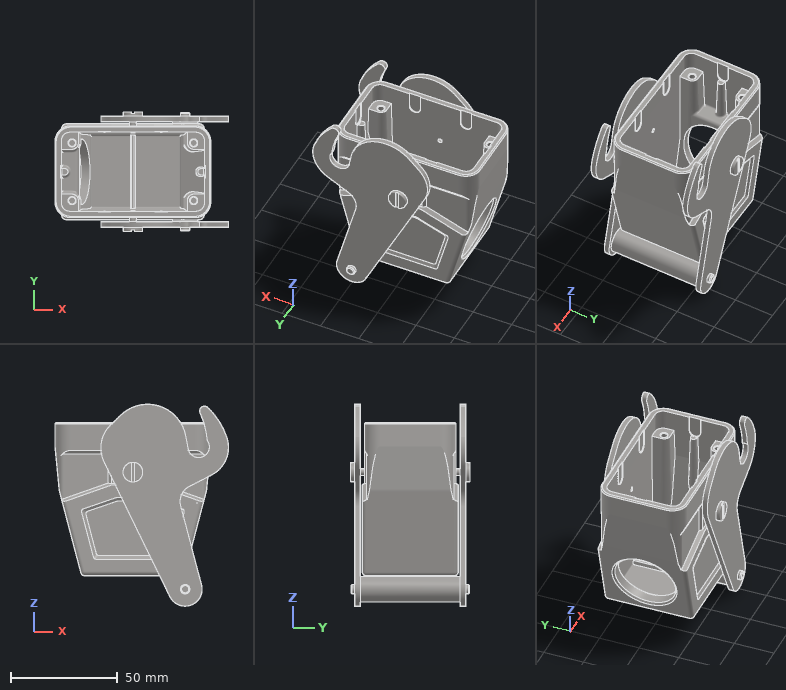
import math

import cadquery as cq


HOOD_HEIGHT = 71.8
COLLAR_LENGTH = 73.0
COLLAR_WIDTH = 43.0
COLLAR_CORNER_RADIUS = 7.5
RIM_CHAMFER = 0.6
COLLAR_BOTTOM_Z = 60.5
WAIST_Z = 40.0
WAIST_HALF_LENGTH = 34.52
WAIST_BLEND_RADIUS = 6.5
UPPER_BODY_START_Z = 25.0
BASE_HALF_LENGTH = 24.0
BASE_WIDTH = 45.0
BASE_EDGE_RADIUS = 2.0
END_LEAN = math.atan2(WAIST_HALF_LENGTH - BASE_HALF_LENGTH, WAIST_Z)

ROOF_APEX_Z = 44.0
ROOF_FLAT_HALF = 10.1
ROOF_SLOPE = 0.352
ROOF_BEVEL_HEIGHT = 1.4

SIDE_RECESS_DEPTH = 1.1
SIDE_RECESS_BEVEL = 1.7
SIDE_RECESS_TOP_Z = 58.8
BAND_HALF_WIDTH = 10.0
SIDE_RECESS_END_RADIUS = 2.2

PANEL_DEPTH = 1.0
PANEL_BEVEL = 1.7
PANEL_BOTTOM_Z = 7.8
PANEL_BOTTOM_HALF = 18.2
PANEL_SHOULDER_Z = 31.0
PANEL_TOP_Z = 36.8
PANEL_TOP_HALF = 7.4
PANEL_CORNER_RADIUS = 2.8

ENTRY_DIAMETER = 30.6
ENTRY_CHAMFER = 1.0
CHAMFER_ANGLE = 45.0
ENTRY_Z = 19.7
ENTRY_DEPTH = 9.0

DRAFT = 2.0
WALL = 3.0
CAVITY_HALF_LENGTH = COLLAR_LENGTH / 2 - WALL
CAVITY_HALF_WIDTH = COLLAR_WIDTH / 2 - WALL
CAVITY_CORNER_RADIUS = 4.0
SEAT_Z = HOOD_HEIGHT - 10.0
FLOOR_Z = 5.6
FLOOR_HALF_WIDTH = 17.2
FLOOR_LEFT_X = -19.9
FLOOR_RIGHT_X = 22.5
FLOOR_FILLET = 0.8
SHELF_Z = 40.0
SHELF_EDGE_X = -24.9
SHELF_EDGE_RADIUS = 2.0
SHELF_FILLET = 1.0
FLOOR_RIB_BASE = 2.4
FLOOR_RIB_CREST = 1.2
FLOOR_RIB_HEIGHT = 1.9

POST_INNER_X = 25.5
POST_INNER_Y = 10.5
POST_CORNER_RADIUS = 3.0
POST_HOLE_X = 28.45
POST_HOLE_Y = 13.5
POST_HOLE_DIAMETER = 3.2
POST_HOLE_DEPTH = 10.0
POST_HOLE_CHAMFER = 0.3

KEY_RADIUS = 1.5
KEY_X = 31.9

SLOT_WIDTH = 5.7
SLOT_DEPTH = 0.4
SLOT_BOTTOM_Z = 61.2
SLOT_X = 13.3

PLATE_INNER_Y = 23.4
PLATE_OUTER_Y = 26.0
PIVOT_Z = 48.6
SCREW_HEAD_DIAMETER = 9.2
SCREW_TIP_Y = 28.0
SCREW_SLOT_WIDTH = 1.5
SCREW_SLOT_DEPTH = 0.7
SCREW_HEAD_FILLET = 0.4
SCREW_SHANK_DIAMETER = 3.2
SCREW_SHANK_END_Y = 20.0
SCREW_PILOT_DIAMETER = 2.0
ROLLER_DIAMETER = 12.0
RIVET_DIAMETER = 4.4
RIVET_TIP_Y = 27.8
RIVET_CHAMFER = 0.5

LEVER_END = (24.45, -6.2, 8.0)
LEVER_SHOULDER = (0.0, 59.9, 15.0)
LEVER_HEAD = (6.9, 62.3, 18.1)
HOOK_THROAT = (30.8, 60.4, -5.0)
HOOK_BACK = (30.2, 60.2, 14.6)
LEVER_ELBOW = (30.1, 34.8, -8.0)
HOOK_TIP = (33.5, 77.2, 2.3)
HOOK_OUTER_RADIUS = 35.0
HOOK_INNER_RADIUS = 40.0
THROAT_END_ANGLE = math.radians(36)


def prism_y(points, half_width):
    """Extrude an XZ outline evenly to both sides of y = 0."""
    return cq.Workplane("XZ").polyline(points).close().extrude(half_width, both=True)


def rod_y(diameter, y_start, y_end, x, z):
    """Round bar along Y on the -Y side, from |y| = y_start out to |y| = y_end."""
    return cq.Workplane("XZ", origin=(x, -y_start, z)).circle(diameter / 2).extrude(y_end - y_start)


def both_sides(body):
    """A -Y side feature joined with its mirror image on the +Y side."""
    return body.union(body.mirror("XZ"))


def collar_block(length, width, radius, bottom, top):
    block = cq.Workplane("XY", origin=(0, 0, bottom)).rect(length, width).extrude(top - bottom)
    return block.edges("|Z").fillet(radius)


def end_lean_x(z):
    """Half length of the base at height z."""
    return BASE_HALF_LENGTH + z * math.tan(END_LEAN)


def make_upper_body():
    half = COLLAR_LENGTH / 2
    right = [
        (BASE_HALF_LENGTH, 0),
        (WAIST_HALF_LENGTH, WAIST_Z),
        (half, COLLAR_BOTTOM_Z),
        (half, HOOD_HEIGHT),
    ]
    left = [(-x, z) for x, z in reversed(right)]
    block = collar_block(
        COLLAR_LENGTH, COLLAR_WIDTH, COLLAR_CORNER_RADIUS, UPPER_BODY_START_Z, HOOD_HEIGHT
    )
    block = block.faces(">Z").edges().chamfer(RIM_CHAMFER)
    ends = prism_y(right + left, COLLAR_WIDTH)
    for side in (-1, 1):
        waist = cq.selectors.NearestToPointSelector((side * WAIST_HALF_LENGTH, 0, WAIST_Z))
        ends = ends.edges("|Y").edges(waist).fillet(WAIST_BLEND_RADIUS)
    body = block.intersect(ends).cut(make_side_recesses())
    return round_recess_ends(body)


def round_recess_ends(body):
    """Soften the upright edges where the recess floors run out into the collar's round corners."""
    floor_y = COLLAR_WIDTH / 2 - SIDE_RECESS_DEPTH
    rise = COLLAR_CORNER_RADIUS - SIDE_RECESS_DEPTH
    edge_x = COLLAR_LENGTH / 2 - COLLAR_CORNER_RADIUS + math.sqrt(COLLAR_CORNER_RADIUS**2 - rise**2)
    for side_x in (-1, 1):
        for side_y in (-1, 1):
            middle = (side_x * edge_x, side_y * floor_y, WAIST_Z)
            edge = cq.selectors.NearestToPointSelector(middle)
            body = body.edges("|Z").edges(edge).fillet(SIDE_RECESS_END_RADIUS)
    return body


def make_side_recesses():
    outside = COLLAR_LENGTH
    outline = [
        (BAND_HALF_WIDTH, 0),
        (outside, 0),
        (outside, SIDE_RECESS_TOP_Z),
        (BAND_HALF_WIDTH, SIDE_RECESS_TOP_Z),
    ]
    bevel_angle = math.degrees(math.atan2(SIDE_RECESS_BEVEL, SIDE_RECESS_DEPTH))
    face = cq.Workplane("XZ", origin=(0, -COLLAR_WIDTH / 2, 0))
    recess = face.polyline(outline).close().extrude(-SIDE_RECESS_DEPTH, taper=bevel_angle)
    return both_sides(recess.union(recess.mirror("YZ")))


def make_base():
    half_top = end_lean_x(ROOF_APEX_Z)
    outline = [
        (-BASE_HALF_LENGTH, 0),
        (BASE_HALF_LENGTH, 0),
        (half_top, ROOF_APEX_Z),
        (-half_top, ROOF_APEX_Z),
    ]
    block = prism_y(outline, BASE_WIDTH / 2)
    return block.edges("not(>Z)").fillet(BASE_EDGE_RADIUS).intersect(make_roof())


def make_roof():
    """Room below the sloping roof, whose edge is bevelled where it stands proud of the recesses."""
    reach = COLLAR_LENGTH
    eaves_z = ROOF_APEX_Z - ROOF_SLOPE * (reach - ROOF_FLAT_HALF)
    inner_half_width = COLLAR_WIDTH / 2 - SIDE_RECESS_DEPTH
    bevel_depth = BASE_WIDTH / 2 - inner_half_width
    outline = [
        (-reach, -reach),
        (reach, -reach),
        (reach, eaves_z),
        (ROOF_FLAT_HALF, ROOF_APEX_Z),
        (-ROOF_FLAT_HALF, ROOF_APEX_Z),
        (-reach, eaves_z),
    ]
    roof = prism_y(outline, inner_half_width)
    bevel_angle = math.degrees(math.atan2(ROOF_BEVEL_HEIGHT, bevel_depth))
    face = cq.Workplane("XZ", origin=(0, -inner_half_width, 0))
    edge = face.polyline(outline).close().extrude(bevel_depth, taper=bevel_angle)
    return roof.union(both_sides(edge))


def make_panels():
    shoulder_half = PANEL_BOTTOM_HALF + (PANEL_SHOULDER_Z - PANEL_BOTTOM_Z) * math.tan(END_LEAN)
    outline = [
        (-PANEL_BOTTOM_HALF, PANEL_BOTTOM_Z),
        (PANEL_BOTTOM_HALF, PANEL_BOTTOM_Z),
        (shoulder_half, PANEL_SHOULDER_Z),
        (PANEL_TOP_HALF, PANEL_TOP_Z),
        (-PANEL_TOP_HALF, PANEL_TOP_Z),
        (-shoulder_half, PANEL_SHOULDER_Z),
    ]
    bevel_angle = math.degrees(math.atan2(PANEL_BEVEL, PANEL_DEPTH))
    face = cq.Workplane("XZ", origin=(0, -BASE_WIDTH / 2, 0))
    panel = face.polyline(outline).close().extrude(-PANEL_DEPTH, taper=bevel_angle)
    return both_sides(panel.edges("not(#Y)").fillet(PANEL_CORNER_RADIUS))


def make_cable_entry():
    inward = cq.Vector(math.cos(END_LEAN), 0, math.sin(END_LEAN))
    mouth = cq.Plane(origin=(-end_lean_x(ENTRY_Z), 0, ENTRY_Z), xDir=(0, 1, 0), normal=inward)
    hole = cq.Workplane(mouth).circle(ENTRY_DIAMETER / 2).extrude(ENTRY_DEPTH)
    rim = cq.Workplane(mouth).circle(ENTRY_DIAMETER / 2 + ENTRY_CHAMFER)
    rim = rim.extrude(ENTRY_CHAMFER, taper=CHAMFER_ANGLE)
    return hole.union(rim)


def make_cavity():
    lean = math.tan(END_LEAN)
    right_knee_z = FLOOR_Z + (CAVITY_HALF_LENGTH - FLOOR_RIGHT_X) / lean
    left_knee_z = FLOOR_Z + (FLOOR_LEFT_X - SHELF_EDGE_X) / lean
    lengthwise = [
        (FLOOR_LEFT_X, FLOOR_Z),
        (FLOOR_RIGHT_X, FLOOR_Z),
        (CAVITY_HALF_LENGTH, right_knee_z),
        (CAVITY_HALF_LENGTH, SEAT_Z),
        (-CAVITY_HALF_LENGTH, SEAT_Z),
        (-CAVITY_HALF_LENGTH, SHELF_Z),
        (SHELF_EDGE_X, SHELF_Z),
        (SHELF_EDGE_X, left_knee_z),
    ]
    crosswise = [
        (-FLOOR_HALF_WIDTH, FLOOR_Z),
        (FLOOR_HALF_WIDTH, FLOOR_Z),
        (CAVITY_HALF_WIDTH, SEAT_Z),
        (-CAVITY_HALF_WIDTH, SEAT_Z),
    ]
    lower = prism_y(lengthwise, CAVITY_HALF_WIDTH)
    shelf_edge = cq.selectors.NearestToPointSelector((SHELF_EDGE_X, 0, SHELF_Z))
    lower = lower.edges(shelf_edge).fillet(SHELF_EDGE_RADIUS)
    trough = cq.Workplane("YZ").polyline(crosswise).close().extrude(COLLAR_LENGTH, both=True)
    lower = lower.intersect(trough).faces("<Z").edges().fillet(FLOOR_FILLET)

    mouth = collar_block(
        2 * CAVITY_HALF_LENGTH, 2 * CAVITY_HALF_WIDTH, CAVITY_CORNER_RADIUS, SEAT_Z, HOOD_HEIGHT
    )
    lower = lower.cut(make_posts()).cut(make_keys()).cut(make_floor_rib())
    shelf_walls = cq.selectors.BoxSelector(
        (-COLLAR_LENGTH, -COLLAR_WIDTH, SHELF_Z - SHELF_FILLET / 2),
        (SHELF_EDGE_X - SHELF_EDGE_RADIUS - SHELF_FILLET / 2, COLLAR_WIDTH, SHELF_Z + SHELF_FILLET / 2),
    )
    lower = lower.edges(shelf_walls).fillet(SHELF_FILLET)
    return mouth.union(lower).union(make_wall_slots())


def make_posts():
    """Four drafted corner posts, each rounded towards the middle of the hood."""
    outer_x = COLLAR_LENGTH / 2
    outer_y = COLLAR_WIDTH / 2
    radius = POST_CORNER_RADIUS
    inset = radius * (1 - math.sqrt(0.5))
    post = (
        cq.Workplane("XY", origin=(0, 0, SEAT_Z))
        .moveTo(outer_x, outer_y)
        .lineTo(POST_INNER_X, outer_y)
        .lineTo(POST_INNER_X, POST_INNER_Y + radius)
        .threePointArc(
            (POST_INNER_X + inset, POST_INNER_Y + inset), (POST_INNER_X + radius, POST_INNER_Y)
        )
        .lineTo(outer_x, POST_INNER_Y)
        .close()
        .extrude(-SEAT_Z, taper=-DRAFT)
    )
    pair = post.union(post.mirror("XZ"))
    return pair.union(pair.mirror("YZ"))


def make_post_holes():
    radius = POST_HOLE_DIAMETER / 2
    seat = cq.Workplane("XY", origin=(0, 0, SEAT_Z))
    seat = seat.rect(2 * POST_HOLE_X, 2 * POST_HOLE_Y, forConstruction=True).vertices()
    holes = seat.circle(radius).extrude(-POST_HOLE_DEPTH)
    return holes.faces(">Z").edges().each(
        lambda edge: cq.Solid.makeCone(
            radius,
            radius + POST_HOLE_CHAMFER,
            POST_HOLE_CHAMFER,
            pnt=edge.arcCenter() - cq.Vector(0, 0, POST_HOLE_CHAMFER),
        ),
        combine=True,
    )


def make_keys():
    """Drafted half-round key ribs on the inside of both end walls."""
    outer_x = COLLAR_LENGTH / 2
    key = (
        cq.Workplane("XY", origin=(0, 0, SEAT_Z))
        .moveTo(outer_x, KEY_RADIUS)
        .lineTo(KEY_X, KEY_RADIUS)
        .threePointArc((KEY_X - KEY_RADIUS, 0), (KEY_X, -KEY_RADIUS))
        .lineTo(outer_x, -KEY_RADIUS)
        .close()
        .extrude(-SEAT_Z, taper=-DRAFT)
    )
    return key.union(key.mirror("YZ"))


def make_floor_rib():
    crest_z = FLOOR_Z + FLOOR_RIB_HEIGHT
    section = [
        (-FLOOR_RIB_BASE / 2, FLOOR_Z),
        (FLOOR_RIB_BASE / 2, FLOOR_Z),
        (FLOOR_RIB_CREST / 2, crest_z),
        (-FLOOR_RIB_CREST / 2, crest_z),
    ]
    return prism_y(section, COLLAR_WIDTH / 2)


def wall_slot(plane, across, distance):
    """Shallow round-ended slot in one inside wall of the collar, open at the rim."""
    radius = SLOT_WIDTH / 2
    bottom = SLOT_BOTTOM_Z + radius
    height = HOOD_HEIGHT - bottom
    face = cq.Workplane(plane).workplane(offset=distance - SLOT_DEPTH)
    slot = face.center(across, bottom + height / 2).rect(SLOT_WIDTH, height).extrude(2 * SLOT_DEPTH)
    return slot.union(face.center(across, bottom).circle(radius).extrude(2 * SLOT_DEPTH))


def make_wall_slots():
    sides = wall_slot("XZ", SLOT_X, CAVITY_HALF_WIDTH).union(wall_slot("XZ", -SLOT_X, CAVITY_HALF_WIDTH))
    end = wall_slot("YZ", 0, CAVITY_HALF_LENGTH)
    return both_sides(sides).union(end).union(end.mirror("YZ"))


def point_on(circle, angle):
    x, z, radius = circle
    return (x + radius * math.cos(angle), z + radius * math.sin(angle))


def tangent_angle(first, second):
    """Outward normal of the line that leads clockwise from one circle to the next."""
    dx = second[0] - first[0]
    dz = second[1] - first[1]
    return math.atan2(dz, dx) + math.acos((first[2] - second[2]) / math.hypot(dx, dz))


def circle_crossing(centre_1, radius_1, centre_2, radius_2):
    """The crossing of two circles that lies left of the way from centre 1 to centre 2."""
    dx = centre_2[0] - centre_1[0]
    dz = centre_2[1] - centre_1[1]
    gap = math.hypot(dx, dz)
    along = (gap**2 + radius_1**2 - radius_2**2) / (2 * gap)
    aside = math.sqrt(radius_1**2 - along**2)
    return (
        centre_1[0] + (along * dx - aside * dz) / gap,
        centre_1[1] + (along * dz + aside * dx) / gap,
    )


def towards(start, end):
    return math.atan2(end[1] - start[1], end[0] - start[0])


def make_lever_plate():
    end_shoulder = tangent_angle(LEVER_END, LEVER_SHOULDER)
    shoulder_head = tangent_angle(LEVER_SHOULDER, LEVER_HEAD)
    head_throat = tangent_angle(LEVER_HEAD, HOOK_THROAT)
    back_elbow = tangent_angle(HOOK_BACK, LEVER_ELBOW)
    elbow_end = tangent_angle(LEVER_ELBOW, LEVER_END)

    tip_radius = HOOK_TIP[2]
    throat_end = point_on(HOOK_THROAT, THROAT_END_ANGLE + math.pi)
    inner_centre = circle_crossing(
        throat_end, HOOK_INNER_RADIUS, HOOK_TIP[:2], HOOK_INNER_RADIUS + tip_radius
    )
    outer_centre = circle_crossing(
        HOOK_BACK[:2], HOOK_OUTER_RADIUS - HOOK_BACK[2], HOOK_TIP[:2], HOOK_OUTER_RADIUS - tip_radius
    )
    inner_arc = (*inner_centre, HOOK_INNER_RADIUS)
    outer_arc = (*outer_centre, HOOK_OUTER_RADIUS)
    inner_start = towards(inner_centre, throat_end)
    inner_end = towards(inner_centre, HOOK_TIP)
    outer_start = towards(outer_centre, HOOK_TIP)
    outer_end = towards(outer_centre, HOOK_BACK)

    outline = (
        cq.Workplane("XZ", origin=(0, -PLATE_INNER_Y, 0))
        .moveTo(*point_on(LEVER_END, end_shoulder))
        .lineTo(*point_on(LEVER_SHOULDER, end_shoulder))
        .threePointArc(
            point_on(LEVER_SHOULDER, (end_shoulder + shoulder_head) / 2),
            point_on(LEVER_SHOULDER, shoulder_head),
        )
        .lineTo(*point_on(LEVER_HEAD, shoulder_head))
        .threePointArc(point_on(LEVER_HEAD, math.pi / 2), point_on(LEVER_HEAD, head_throat))
        .lineTo(*point_on(HOOK_THROAT, head_throat))
        .threePointArc(point_on(HOOK_THROAT, math.pi / 2), throat_end)
        .threePointArc(
            point_on(inner_arc, (inner_start + inner_end) / 2), point_on(inner_arc, inner_end)
        )
        .threePointArc(point_on(HOOK_TIP, math.pi / 2), point_on(outer_arc, outer_start))
        .threePointArc(
            point_on(outer_arc, (outer_start + outer_end) / 2), point_on(outer_arc, outer_end)
        )
        .threePointArc(point_on(HOOK_BACK, 0), point_on(HOOK_BACK, back_elbow))
        .lineTo(*point_on(LEVER_ELBOW, back_elbow))
        .threePointArc(
            point_on(LEVER_ELBOW, (back_elbow + elbow_end) / 2), point_on(LEVER_ELBOW, elbow_end)
        )
        .lineTo(*point_on(LEVER_END, elbow_end))
        .threePointArc(point_on(LEVER_END, -math.pi / 2), point_on(LEVER_END, end_shoulder))
        .close()
    )
    return outline.extrude(PLATE_OUTER_Y - PLATE_INNER_Y)


def make_pivot_screw():
    head = rod_y(SCREW_HEAD_DIAMETER, PLATE_OUTER_Y, SCREW_TIP_Y, 0, PIVOT_Z)
    head = head.faces("<Y").edges().fillet(SCREW_HEAD_FILLET)
    slot = cq.Workplane("XY").box(SCREW_SLOT_WIDTH, 2 * SCREW_SLOT_DEPTH, SCREW_HEAD_DIAMETER)
    head = head.cut(slot.translate((0, -SCREW_TIP_Y, PIVOT_Z)))
    return head.union(rod_y(SCREW_SHANK_DIAMETER, SCREW_SHANK_END_Y, PLATE_OUTER_Y, 0, PIVOT_Z))


def make_lever():
    x, z, _ = LEVER_END
    rivet = rod_y(RIVET_DIAMETER, PLATE_OUTER_Y, RIVET_TIP_Y, x, z)
    rivet = rivet.faces("<Y").edges().chamfer(RIVET_CHAMFER)
    roller = rod_y(ROLLER_DIAMETER, 0, PLATE_INNER_Y, x, z)
    side = make_lever_plate().union(make_pivot_screw()).union(rivet).union(roller)
    return both_sides(side)


def make_hood():
    body = make_upper_body().union(make_base())
    body = body.cut(make_panels()).cut(make_cavity()).cut(make_cable_entry()).cut(make_post_holes())
    pilot = rod_y(SCREW_PILOT_DIAMETER, 0, COLLAR_WIDTH / 2, 0, PIVOT_Z)
    return body.cut(both_sides(pilot))


result = make_hood().union(make_lever())